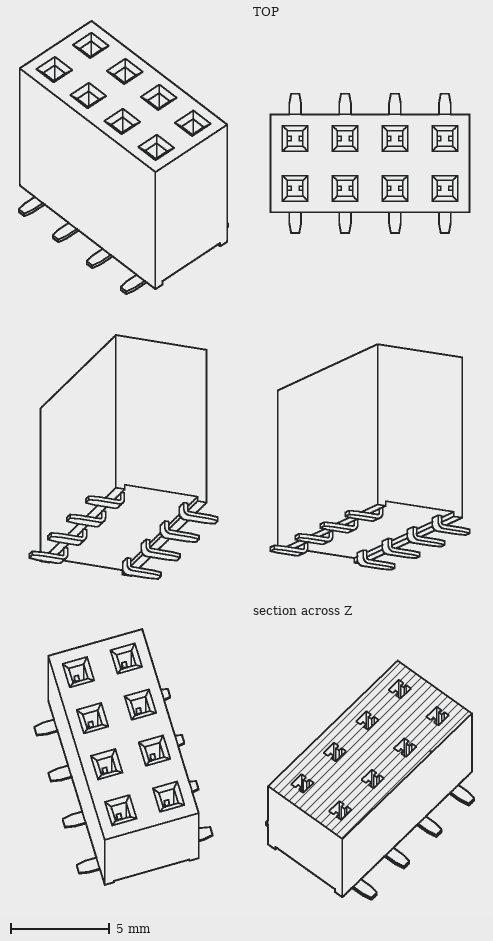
import cadquery as cq


length = 10.16
width = 5.0
total_height = 8.9
standoff = 0.42
channel_depth = 0.24
side_wall = 0.5
columns = 4
pitch = length / columns
channel_roof = standoff + channel_depth

socket_mouth = 1.3
socket_throat = 0.79
lead_in_depth = (socket_mouth - socket_throat) / 2
socket_depth = 6.1
socket_floor = total_height - socket_depth

contact_thickness = 0.22
contact_gap = 0.41
contact_knee_gap = 0.57
contact_top = total_height - 2.03
contact_slope_height = 0.16

pin_width = 0.61
pin_thickness = 0.2
pin_span = 7.1
leg_inner_y = 1.64
bend_inner_radius = 0.1
tip_width = 0.43
tip_length = 0.5

column_places = [(i - (columns - 1) / 2) * pitch for i in range(columns)]
row_places = [-pitch / 2, pitch / 2]


def make_housing():
    """Block with a shallow channel along its underside."""
    block = cq.Workplane("XY").workplane(offset=standoff).rect(length, width)
    block = block.extrude(total_height - standoff)
    channel = cq.Workplane("XY").workplane(offset=standoff).rect(length, width - 2 * side_wall)
    return block.cut(channel.extrude(channel_depth))


def make_socket():
    """Blind square hole with a 45 degree funnel at its mouth."""
    hole = cq.Workplane("XY").workplane(offset=socket_floor).rect(socket_throat, socket_throat)
    hole = hole.extrude(socket_depth)
    funnel = (
        cq.Workplane("XY")
        .workplane(offset=total_height - lead_in_depth)
        .rect(socket_throat, socket_throat)
        .workplane(offset=lead_in_depth)
        .rect(socket_mouth, socket_mouth)
        .loft(ruled=True)
    )
    return hole.union(funnel)


def make_contact():
    """Spring contact on the +X wall of a socket, sloping inward in two steps."""
    knee_z = contact_top - contact_slope_height
    return (
        cq.Workplane("XZ")
        .moveTo(socket_throat / 2, socket_floor)
        .lineTo(socket_throat / 2, contact_top)
        .lineTo(contact_knee_gap / 2, knee_z)
        .lineTo(contact_gap / 2, knee_z - contact_slope_height)
        .lineTo(contact_gap / 2, socket_floor)
        .close()
        .extrude(contact_thickness / 2, both=True)
    )


def make_pin():
    """L-shaped pin: a leg from the channel roof, bent into a foot toward +Y."""
    bend_outer_radius = bend_inner_radius + pin_thickness
    foot_end = pin_span / 2
    bend_end_y = leg_inner_y + bend_outer_radius
    strip = (
        cq.Workplane("YZ")
        .moveTo(leg_inner_y, channel_roof)
        .lineTo(leg_inner_y, bend_outer_radius)
        .radiusArc((bend_end_y, 0), -bend_outer_radius)
        .lineTo(foot_end, 0)
        .lineTo(foot_end, pin_thickness)
        .lineTo(bend_end_y, pin_thickness)
        .radiusArc((leg_inner_y + pin_thickness, bend_outer_radius), bend_inner_radius)
        .lineTo(leg_inner_y + pin_thickness, channel_roof)
        .close()
        .extrude(pin_width / 2, both=True)
    )
    plan = (
        cq.Workplane("XY")
        .moveTo(-pin_width / 2, leg_inner_y)
        .lineTo(-pin_width / 2, foot_end - tip_length)
        .lineTo(-tip_width / 2, foot_end)
        .lineTo(tip_width / 2, foot_end)
        .lineTo(pin_width / 2, foot_end - tip_length)
        .lineTo(pin_width / 2, leg_inner_y)
        .close()
        .extrude(channel_roof)
    )
    return strip.intersect(plan)


socket = make_socket()
contact = make_contact()
contact_pair = [contact, contact.mirror("YZ")]
back_pin = make_pin()
pin_pair = [back_pin, back_pin.mirror("XZ")]

result = make_housing()
for x in column_places:
    for y in row_places:
        result = result.cut(socket.translate((x, y, 0)))
        for spring in contact_pair:
            result = result.union(spring.translate((x, y, 0)))
    for pin in pin_pair:
        result = result.union(pin.translate((x, 0, 0)))